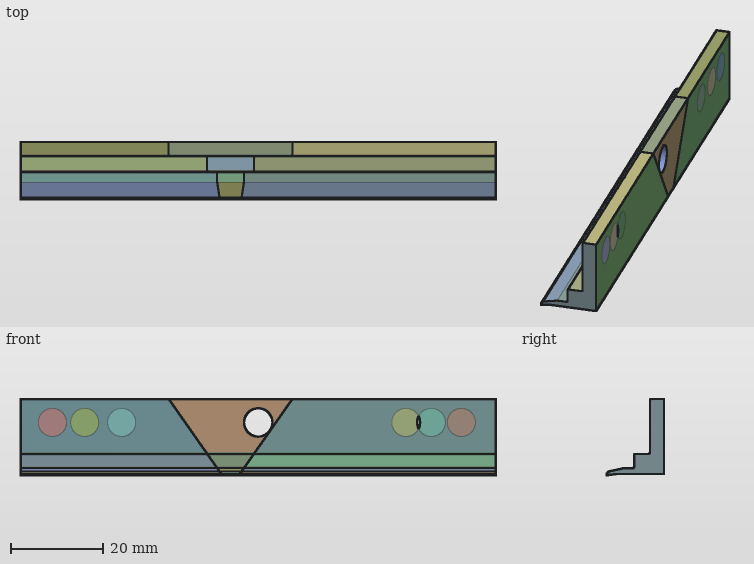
import cadquery as cq
import math

rail_length = 103.0
rail_depth = 12.5
overall_height = 16.6
tip_drop = 0.3
wall_height = overall_height - tip_drop
wall_thickness = 3.1
step_depth = 6.5
step_height = 4.4
lip_height = 1.3
lip_crease_depth = 8.8
lip_nose_depth = 12.0
lip_nose_height = 0.6
underside_depth = 10.3
tip_face_height = 0.3
edge_radius = 0.3

wedge_center_x = -6.0
wedge_top_width = 26.8
wedge_side_angle = 35.0

hole_diameter = 6.1
hole_height = wall_height - 5.1
open_hole_x = 0.0
left_filled_hole_xs = [-44.6, -37.6, -29.6]
right_filled_hole_xs = [32.0, 37.5, 44.0]


def rail():
    """Full-length rail: upright wall, step and drooping lip."""
    profile = (
        cq.Workplane("YZ", origin=(-rail_length / 2, 0, 0))
        .moveTo(0, 0)
        .lineTo(0, wall_height)
        .lineTo(-wall_thickness, wall_height)
        .lineTo(-wall_thickness, step_height)
        .lineTo(-step_depth, step_height)
        .lineTo(-step_depth, lip_height)
        .lineTo(-lip_crease_depth, lip_height)
        .lineTo(-lip_nose_depth, lip_nose_height)
        .lineTo(-rail_depth, tip_face_height - tip_drop)
        .lineTo(-rail_depth, -tip_drop)
        .lineTo(-underside_depth, 0)
        .close()
    )
    body = profile.extrude(rail_length)
    rounded_corners = [
        (wall_thickness, wall_height),
        (wall_thickness, step_height),
        (step_depth, step_height),
        (step_depth, lip_height),
    ]
    for depth, height in rounded_corners:
        corner = cq.selectors.NearestToPointSelector((0, -depth, height))
        body = body.edges("|X").edges(corner).fillet(edge_radius)
    return body


def wedge_region():
    """Tapered block that bounds the middle section."""
    bottom_width = wedge_top_width - 2 * overall_height * math.tan(math.radians(wedge_side_angle))
    top_left = wedge_center_x - wedge_top_width / 2
    top_right = wedge_center_x + wedge_top_width / 2
    bottom_left = wedge_center_x - bottom_width / 2
    bottom_right = wedge_center_x + bottom_width / 2
    outline = cq.Workplane("XZ").polyline([
        (top_left, wall_height),
        (top_right, wall_height),
        (bottom_right, -tip_drop),
        (bottom_left, -tip_drop),
    ]).close()
    return outline.extrude(rail_depth)


def wall_cylinder(x):
    """Cylinder spanning the wall thickness at the hole height."""
    return (
        cq.Workplane("XZ", origin=(x, 0, hole_height))
        .circle(hole_diameter / 2)
        .extrude(wall_thickness)
    )


def fill_holes(body, hole_xs):
    """Filled holes, flush with the wall; where neighbours overlap a slit stays open."""
    cylinders = [wall_cylinder(x) for x in hole_xs]
    for cylinder in cylinders:
        body = body.cut(cylinder)
    for index, cylinder in enumerate(cylinders):
        plug = cylinder
        for other in cylinders[:index] + cylinders[index + 1:]:
            plug = plug.cut(other)
        body = body.union(plug, clean=False)
    return body


drilled_rail = rail().cut(wall_cylinder(open_hole_x))
wedge = wedge_region()
middle_section = drilled_rail.intersect(wedge)
end_sections = drilled_rail.cut(wedge).solids()
left_section = fill_holes(end_sections.solids("<X"), left_filled_hole_xs)
right_section = fill_holes(end_sections.solids(">X"), right_filled_hole_xs)

result = cq.Compound.makeCompound([left_section.val(), middle_section.val(), right_section.val()])